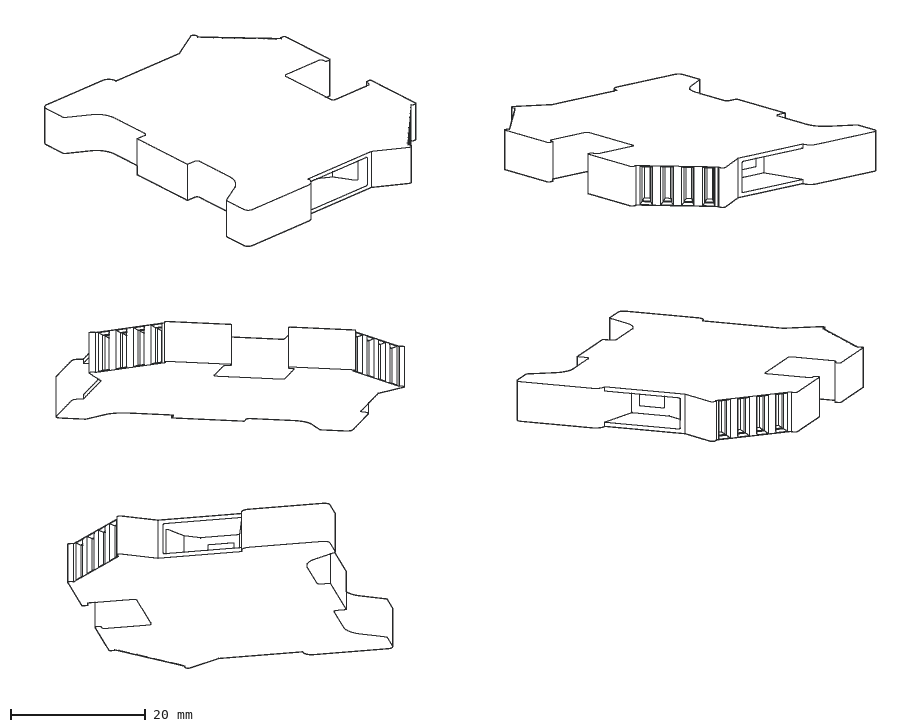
import cadquery as cq
import math

width = 47.85
height = 41.5
thickness = 6.1

notch_half_width = 5.35
notch_floor_y = 33.0
lip_half_gap = 4.35
lip_height = 0.95
nose_half_width = 14.45
nose_height = 0.85
nose_undercut = 0.25

ear_top_y = 31.95
ear_step_x = 23.0
ear_radius = 0.5
ear_angle = math.radians(60)

waist_half_width = 21.0
foot_half_width = 22.5
foot_top_y = 13.55
foot_shoulder_radius = 1.35
foot_corner_radius = 0.9
toe_half_gap = 17.75
toe_radius = 0.35
leg_angle = math.radians(60)
leg_arch_radius = 3.65

underside_y = 5.45
tab_half_width = 5.5
tab_bottom_y = 3.5
tab_root_radius = 0.55

notch_corner_radius = 0.5
lip_radius = 0.25
nose_top_radius = 0.3
nose_bottom_radius = 0.15

entry_height = 4.8
entry_top_y = 25.5
entry_top_depth = 2.05
entry_bend_y = 23.55
entry_bend_angle = math.radians(60)
seat_angle = math.radians(30)
seat_top_y = 21.3
seat_bottom_y = 15.35
seat_inset = 1.0
entry_corner_radius = 0.25

slot_count = 4
slot_pitch = 3.1
first_slot_offset = 1.65
slot_width = 1.85
slot_wall = 0.1
slot_taper_inset = 0.265
slot_taper_depth = 0.7
slot_throat_depth = 0.57

nose_bottom_y = height - nose_height
flank_top_x = nose_half_width - nose_undercut
ear_step_y = nose_bottom_y - (ear_step_x - flank_top_x)
ear_corner_x = width / 2 + ear_radius * (1 / math.tan(ear_angle / 2) - 1)
entry_bend_depth = entry_top_depth + (entry_top_y - entry_bend_y) * math.tan(entry_bend_angle)
seat_depth = entry_bend_depth + (entry_bend_y - seat_top_y) * math.tan(seat_angle)
seat_taper_depth = seat_inset * math.tan(seat_angle)
slot_length = thickness - 2 * slot_wall
waist_top_y = ear_top_y - (ear_corner_x - waist_half_width) * math.tan(ear_angle)
leg_top_x = toe_half_gap - underside_y / math.tan(leg_angle)

corners = [
    (notch_half_width, notch_floor_y, notch_corner_radius),
    (notch_half_width, height - lip_height, notch_corner_radius),
    (lip_half_gap, height - lip_height, lip_radius),
    (lip_half_gap, height, lip_radius),
    (nose_half_width, height, nose_top_radius),
    (nose_half_width, nose_bottom_y, nose_bottom_radius),
    (flank_top_x, nose_bottom_y, 0),
    (ear_step_x, ear_step_y, 0),
    (ear_step_x, ear_top_y, 0),
    (ear_corner_x, ear_top_y, ear_radius),
    (waist_half_width, waist_top_y, 0),
    (waist_half_width, foot_top_y, 0),
    (foot_half_width, foot_top_y, foot_shoulder_radius),
    (foot_half_width, 0, foot_corner_radius),
    (toe_half_gap, 0, toe_radius),
    (leg_top_x, underside_y, leg_arch_radius),
    (tab_half_width, underside_y, tab_root_radius),
    (tab_half_width, tab_bottom_y, 0),
]


def make_body():
    """Symmetric plate with every listed corner rounded on both halves."""
    right = [(x, y) for x, y, _ in corners]
    left = [(-x, y) for x, y in reversed(right)]
    body = cq.Workplane("XY").polyline(right + left).close().extrude(thickness)
    for x, y, radius in corners:
        if radius == 0:
            continue
        for side in (-1, 1):
            edge = cq.selectors.NearestToPointSelector((side * x, y, thickness / 2))
            body = body.edges("|Z").edges(edge).fillet(radius)
    return body


def make_wire_entry():
    """Cutter for the recess in the left waist wall and the tapered seat in its floor."""
    wall_x = -waist_half_width
    profile = [
        (wall_x, entry_top_y),
        (wall_x + entry_top_depth, entry_top_y),
        (wall_x + entry_bend_depth, entry_bend_y),
        (wall_x + seat_depth, seat_top_y),
        (wall_x + seat_depth, seat_bottom_y),
        (wall_x, foot_top_y),
    ]
    bottom_z = (thickness - entry_height) / 2
    recess = cq.Workplane("XY", origin=(0, 0, bottom_z)).polyline(profile).close().extrude(entry_height)
    recess = recess.faces(">Y").edges("|X").fillet(entry_corner_radius)
    seat_length = seat_top_y - seat_bottom_y
    seat_middle = (wall_x + seat_depth, (seat_top_y + seat_bottom_y) / 2, thickness / 2)
    seat = (
        cq.Workplane("YZ", origin=seat_middle)
        .rect(seat_length, entry_height)
        .workplane(offset=seat_taper_depth)
        .rect(seat_length - 2 * seat_inset, entry_height - 2 * seat_inset)
        .loft(ruled=True)
        .edges("not(#X or |Y or |Z)")
        .fillet(entry_corner_radius)
    )
    return recess.union(seat)


def make_slot(offset):
    """Cutter for one slot, its middle the given distance down the left flank."""
    along = offset * math.sqrt(0.5)
    middle = (-flank_top_x - along, nose_bottom_y - along, thickness / 2)
    flank = cq.Plane(origin=middle, xDir=(-1, -1, 0), normal=(1, -1, 0))
    throat_end = slot_taper_depth + slot_throat_depth
    sections = [
        (0, 0),
        (slot_taper_depth, slot_taper_inset),
        (throat_end, slot_taper_inset),
        (throat_end + slot_taper_depth, 2 * slot_taper_inset),
    ]
    slot = cq.Workplane(flank)
    previous_depth = 0
    for depth, inset in sections:
        slot = slot.workplane(offset=depth - previous_depth)
        slot = slot.rect(slot_width - 2 * inset, slot_length - 2 * inset)
        previous_depth = depth
    return slot.loft(ruled=True)


def cut_both_sides(body, cutter):
    """Cut a left-hand cutter and its mirror image."""
    return body.cut(cutter).cut(cutter.mirror("YZ"))


result = cut_both_sides(make_body(), make_wire_entry())
for index in range(slot_count):
    result = cut_both_sides(result, make_slot(first_slot_offset + index * slot_pitch))